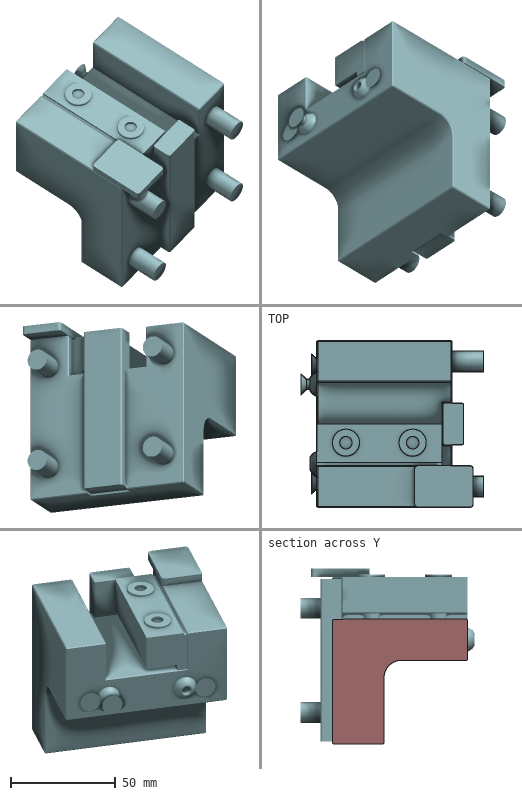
import cadquery as cq

BLOCK_LENGTH = 65.0
BLOCK_WIDTH = 80.0
BLOCK_HEIGHT = 80.0
ARM_BOTTOM = 40.0
LEG_START = 40.0
INNER_RADIUS = 8.0
EDGE_CHAMFER = 0.5
SLOT_NEAR = 20.0
SLOT_FAR = 60.0
SLOT_FLOOR = 60.0

KEY_WIDTH = 20.0
KEY_THICKNESS = 10.0
KEY_START = 60.5
KEY_CENTER_Y = 40.0
KEY_END_GAP = 1.0
KEY_RADIUS = 1.0
KEY_CHAMFER = 0.5

CLAMP_LENGTH = 60.0
CLAMP_WIDTH = 20.0
CLAMP_GAP = 3.0
LIP_WIDTH = 4.7
NOTCH_WIDTH = 1.6
NOTCH_DEPTH = 1.0

CLAMP_SCREW_XS = (14.0, 46.0)
CLAMP_SCREW_Y = 31.0
CLAMP_SHANK_RADIUS = 4.0
CLAMP_HEAD_RADIUS = 6.5
CLAMP_HEAD_HEIGHT = 1.2
CLAMP_HEAD_FILLET = 0.5
CLAMP_SOCKET_RADIUS = 3.0
CLAMP_SOCKET_DEPTH = 1.5

PLATE_LENGTH = 28.0
PLATE_WIDTH = 20.0
PLATE_THICKNESS = 4.0
PLATE_START = 47.0
PLATE_RADIUS = 1.5

PIN_RADIUS = 5.0
PIN_LENGTH = 15.0
PIN_INSET_Y = 10.0
PIN_INSET_Z = 15.0

SCREW_Z = 50.0
DOME_INSET_Y = 21.0
DOME_BASE_RADIUS = 5.8
DOME_TIP_RADIUS = 2.9
DOME_HEIGHT = 3.3
DOME_BORE_RADIUS = 2.3
FLAT_HEAD_INSET_Y = 11.5
FLAT_HEAD_RADIUS = 5.0
FLAT_HEAD_NECK_RADIUS = 2.5
FLAT_HEAD_CONE = 2.7
FLAT_HEAD_NECK_END = 1.0
FLAT_HEAD_STANDOFF = 2.4
LONG_SCREW_STANDOFF = 7.55


def box(x_range, y_range, z_range):
    """Box spanning the given (low, high) ranges."""
    sizes = [high - low for low, high in (x_range, y_range, z_range)]
    corner = (x_range[0], y_range[0], z_range[0])
    return cq.Workplane("XY").box(*sizes, centered=False).translate(corner)


def make_block():
    block = (
        cq.Workplane("XZ")
        .moveTo(0, ARM_BOTTOM)
        .lineTo(LEG_START - INNER_RADIUS, ARM_BOTTOM)
        .radiusArc((LEG_START, ARM_BOTTOM - INNER_RADIUS), INNER_RADIUS)
        .lineTo(LEG_START, 0)
        .lineTo(BLOCK_LENGTH, 0)
        .lineTo(BLOCK_LENGTH, BLOCK_HEIGHT)
        .lineTo(0, BLOCK_HEIGHT)
        .close()
        .extrude(-BLOCK_WIDTH)
    )
    slot = box((0, BLOCK_LENGTH), (SLOT_NEAR, SLOT_FAR), (SLOT_FLOOR, BLOCK_HEIGHT))
    block = block.cut(slot)
    outer_edges = block.faces("<X or >X or <Y or >Y or >Z or <Z").edges()
    return outer_edges.chamfer(EDGE_CHAMFER)


def cut_key_pocket(block):
    """Key pocket through the full height, chamfered where it meets the slot floor."""
    half = KEY_WIDTH / 2
    pocket = box(
        (KEY_START, BLOCK_LENGTH),
        (KEY_CENTER_Y - half, KEY_CENTER_Y + half),
        (0, SLOT_FLOOR),
    )
    mouth = cq.selectors.BoxSelector(
        (KEY_START - EDGE_CHAMFER, KEY_CENTER_Y - half - EDGE_CHAMFER, SLOT_FLOOR - EDGE_CHAMFER / 2),
        (BLOCK_LENGTH, KEY_CENTER_Y + half + EDGE_CHAMFER, SLOT_FLOOR + EDGE_CHAMFER / 2),
    )
    return block.cut(pocket).edges(mouth).chamfer(EDGE_CHAMFER)


def make_key():
    half = KEY_WIDTH / 2
    key = box(
        (KEY_START, KEY_START + KEY_THICKNESS),
        (KEY_CENTER_Y - half, KEY_CENTER_Y + half),
        (KEY_END_GAP, BLOCK_HEIGHT - KEY_END_GAP),
    )
    key = key.edges("<X and |Z").chamfer(KEY_CHAMFER)
    return key.edges(">X and |Z").fillet(KEY_RADIUS)


def make_clamp():
    far_side = SLOT_NEAR + CLAMP_WIDTH
    bar = box((0, CLAMP_LENGTH), (SLOT_NEAR, far_side), (SLOT_FLOOR, BLOCK_HEIGHT))
    gap = box(
        (0, CLAMP_LENGTH),
        (SLOT_NEAR + LIP_WIDTH, far_side),
        (SLOT_FLOOR, SLOT_FLOOR + CLAMP_GAP),
    )
    notch = box(
        (0, CLAMP_LENGTH),
        (SLOT_NEAR, SLOT_NEAR + NOTCH_WIDTH),
        (BLOCK_HEIGHT - NOTCH_DEPTH, BLOCK_HEIGHT),
    )
    return bar.cut(gap).cut(notch)


def add_clamp_screw(part, x):
    base = cq.Workplane("XY", origin=(x, CLAMP_SCREW_Y, SLOT_FLOOR))
    shank = base.circle(CLAMP_SHANK_RADIUS).extrude(BLOCK_HEIGHT - SLOT_FLOOR)
    head = (
        base.workplane(offset=BLOCK_HEIGHT - SLOT_FLOOR)
        .circle(CLAMP_HEAD_RADIUS)
        .extrude(CLAMP_HEAD_HEIGHT)
        .faces(">Z")
        .edges()
        .fillet(CLAMP_HEAD_FILLET)
    )
    socket = (
        base.workplane(offset=BLOCK_HEIGHT + CLAMP_HEAD_HEIGHT - SLOT_FLOOR)
        .circle(CLAMP_SOCKET_RADIUS)
        .extrude(-CLAMP_SOCKET_DEPTH)
    )
    return part.union(shank).union(head).cut(socket)


def make_plate():
    plate = box(
        (PLATE_START, PLATE_START + PLATE_LENGTH),
        (0, PLATE_WIDTH),
        (BLOCK_HEIGHT, BLOCK_HEIGHT + PLATE_THICKNESS),
    )
    return plate.edges("|Z").fillet(PLATE_RADIUS)


def make_pins():
    ys = (PIN_INSET_Y, BLOCK_WIDTH - PIN_INSET_Y)
    zs = (PIN_INSET_Z, BLOCK_HEIGHT - PIN_INSET_Z)
    return (
        cq.Workplane("YZ", origin=(BLOCK_LENGTH, 0, 0))
        .pushPoints([(y, z) for y in ys for z in zs])
        .circle(PIN_RADIUS)
        .extrude(PIN_LENGTH)
    )


def revolve_about_screw_axis(profile, y):
    """Turn a profile drawn as (x, radius) about the X axis and place it at y."""
    solid = profile.close().revolve(360, (0, 0, 0), (1, 0, 0))
    return solid.translate((0, y, SCREW_Z))


def make_dome(y):
    """Domed head with a flat tip, drawn as an arc centred behind the arm end."""
    center_x = (DOME_BASE_RADIUS**2 - DOME_TIP_RADIUS**2 - DOME_HEIGHT**2) / (2 * DOME_HEIGHT)
    dome_radius = (DOME_BASE_RADIUS**2 + center_x**2) ** 0.5
    profile = (
        cq.Workplane("XY")
        .lineTo(-DOME_HEIGHT, 0)
        .lineTo(-DOME_HEIGHT, DOME_TIP_RADIUS)
        .radiusArc((0, DOME_BASE_RADIUS), dome_radius)
    )
    return revolve_about_screw_axis(profile, y)


def make_flat_head_screw(y, standoff):
    """Countersunk head whose flat face stands off the arm end, on a plain neck."""
    cone_end = FLAT_HEAD_CONE - standoff
    profile = (
        cq.Workplane("XY")
        .moveTo(-standoff, 0)
        .lineTo(-standoff, FLAT_HEAD_RADIUS)
        .lineTo(cone_end, FLAT_HEAD_NECK_RADIUS)
        .lineTo(FLAT_HEAD_NECK_END, FLAT_HEAD_NECK_RADIUS)
        .lineTo(FLAT_HEAD_NECK_END, 0)
    )
    return revolve_about_screw_axis(profile, y)


def make_dome_bore(y):
    return (
        cq.Workplane("YZ", origin=(-DOME_HEIGHT, y, SCREW_Z))
        .circle(DOME_BORE_RADIUS)
        .extrude(DOME_HEIGHT)
    )


def add_arm_end_screws(part):
    for y in (DOME_INSET_Y, BLOCK_WIDTH - DOME_INSET_Y):
        part = part.union(make_dome(y))
    part = part.cut(make_dome_bore(DOME_INSET_Y))
    for y in (FLAT_HEAD_INSET_Y, BLOCK_WIDTH - FLAT_HEAD_INSET_Y):
        part = part.union(make_flat_head_screw(y, FLAT_HEAD_STANDOFF))
    return part.union(make_flat_head_screw(BLOCK_WIDTH - DOME_INSET_Y, LONG_SCREW_STANDOFF))


result = cut_key_pocket(make_block())
for feature in (make_key(), make_clamp(), make_plate(), make_pins()):
    result = result.union(feature)
for screw_x in CLAMP_SCREW_XS:
    result = add_clamp_screw(result, screw_x)
result = add_arm_end_screws(result)